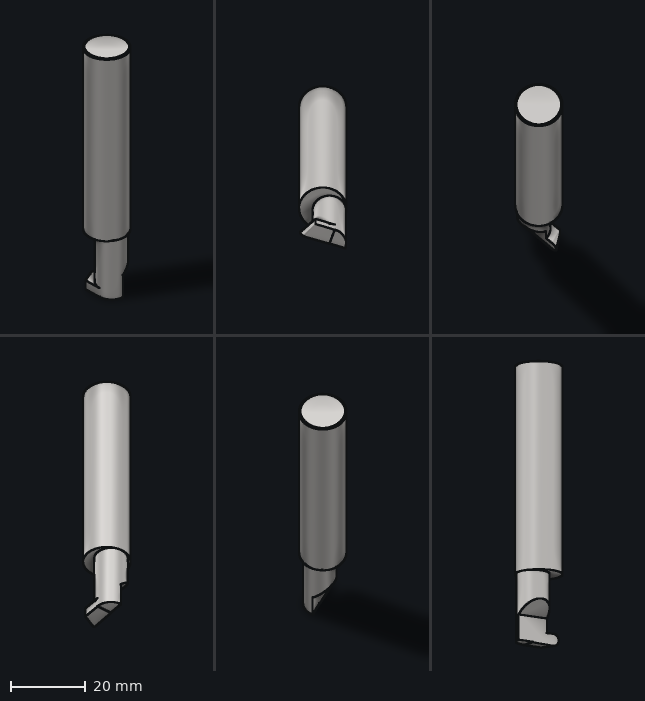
import cadquery as cq
import math

total_height = 76.15
shank_diameter = 12.7
shank_radius = shank_diameter / 2
shoulder_z = 18.95
chamfer_height = 0.2
chamfer_width = 0.4

neck_diameter = 9.0
neck_radius = neck_diameter / 2
neck_x = shank_radius - neck_radius
neck_bottom_z = 0.3

relief_z = 7.2
bevel_top_z = 11.3

tip_height = 3.35
tip_middle_z = tip_height / 2
nose_land_height = 0.15
corner_radius = 0.04
side_relief = 0.2
back_taper = 0.15
front_edge_x = -3.6


def make_shank():
    shank = cq.Workplane("XY").workplane(offset=shoulder_z)
    shank = shank.circle(shank_radius).extrude(total_height - shoulder_z)
    return shank.faces(">Z").chamfer(chamfer_height, chamfer_width)


def make_neck():
    neck = cq.Workplane("XY").workplane(offset=neck_bottom_z).center(neck_x, 0)
    neck = neck.circle(neck_radius).extrude(shoulder_z - neck_bottom_z)
    relief = (
        cq.Workplane("YZ")
        .polyline([(0, 0), (0, relief_z), (neck_radius, bevel_top_z), (neck_radius, 0)])
        .close()
        .extrude(shank_diameter, both=True)
    )
    return neck.cut(relief)


def add_tip_profile(plane, left_x, height, radius, taper):
    """Draw a bar profile with two rounded left corners, narrowing by taper toward the neck."""
    half = height / 2
    low_z = tip_middle_z - half
    high_z = tip_middle_z + half
    arc_inset = radius * (1 - math.sqrt(0.5))
    return (
        plane.moveTo(neck_x, low_z + taper)
        .lineTo(left_x + radius, low_z)
        .threePointArc((left_x + arc_inset, low_z + arc_inset), (left_x, low_z + radius))
        .lineTo(left_x, high_z - radius)
        .threePointArc((left_x + arc_inset, high_z - arc_inset), (left_x + radius, high_z))
        .lineTo(neck_x, high_z - taper)
        .close()
    )


def make_tip():
    nose_radius = (tip_height - nose_land_height) / 2
    front_height = tip_height - 2 * side_relief
    rake = add_tip_profile(cq.Workplane("XZ"), -shank_radius, tip_height, nose_radius, back_taper)
    front_plane = rake.workplane(offset=neck_radius)
    both = add_tip_profile(front_plane, front_edge_x, front_height, corner_radius, 0)
    return both.loft(ruled=True)


result = make_shank().union(make_neck()).union(make_tip())